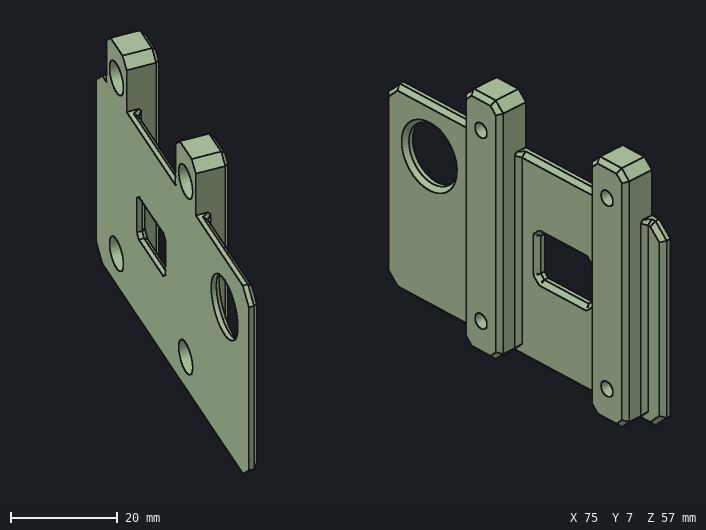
import cadquery as cq

plate_width = 75.0
plate_height = 45.0
plate_thickness = 2.0
plate_corner = 3.0
edge_chamfer = 1.0

rib_width = 10.0
rib_height = 57.0
rib_depth = 7.0
rib_corner = 2.0
first_rib_x = 10.0
rib_pitch = 34.0
rib_centers = [first_rib_x, first_rib_x + rib_pitch]

screw_diameter = 3.2
head_diameter = 6.8
head_depth = 3.2
lower_screw_z = 7.5
screw_pitch_z = 42.0

flare_angle = 45
bore_diameter = 13.0
bore_x = 63.0
bore_z = 33.3
window_width = 13.95
window_height = 10.2
window_corner = 1.0
window_x = first_rib_x + rib_pitch / 2
window_z = 24.0


def cornered_block(width, depth, height, corner):
    """Block centred in X, rising from Z = 0 and Y = 0, with bevelled outline corners."""
    block = cq.Workplane("XY").box(width, depth, height, centered=(True, False, False))
    return block.edges("|Y").chamfer(corner)


def make_plate():
    plate = cornered_block(plate_width, plate_thickness, plate_height, plate_corner)
    return plate.faces(">Y").chamfer(edge_chamfer).translate((plate_width / 2, 0, 0))


def make_rib(center_x):
    rib = cornered_block(rib_width, rib_depth, rib_height, rib_corner)
    return rib.faces(">Y").chamfer(edge_chamfer).translate((center_x, 0, 0))


def front_cylinder(x, z, diameter, depth):
    """Cylinder running back from the front face."""
    return cq.Workplane("XZ", origin=(x, 0, z)).circle(diameter / 2).extrude(-depth)


def back_flare(opening):
    """Cutter widening an opening at 45 degrees up to the back of the plate."""
    outline = opening.faces("<Y").wires().val().translate(cq.Vector(0, plate_thickness - edge_chamfer, 0))
    start = cq.Workplane("XZ", origin=(0, plate_thickness - edge_chamfer, 0)).add(outline).toPending()
    return start.extrude(-edge_chamfer, taper=-flare_angle)


body = make_plate()
for center_x in rib_centers:
    body = body.union(make_rib(center_x))

for center_x in rib_centers:
    for side in (-1, 1):
        side_x = center_x + side * rib_width / 2
        back_middle = (side_x, plate_thickness, plate_height / 2)
        bevel_middle = (side_x, plate_thickness - edge_chamfer / 2, plate_height - edge_chamfer / 2)
        joint = body.edges(cq.selectors.NearestToPointSelector(back_middle))
        joint = joint.add(body.edges(cq.selectors.NearestToPointSelector(bevel_middle)))
        body = joint.chamfer(edge_chamfer)

for center_x in rib_centers:
    for screw_z in (lower_screw_z, lower_screw_z + screw_pitch_z):
        body = body.cut(front_cylinder(center_x, screw_z, screw_diameter, rib_depth))
        body = body.cut(front_cylinder(center_x, screw_z, head_diameter, head_depth))

bore = front_cylinder(bore_x, bore_z, bore_diameter, plate_thickness)
window = cornered_block(window_width, plate_thickness, window_height, window_corner)
window = window.translate((window_x, 0, window_z - window_height / 2))
for opening in (bore, window):
    body = body.cut(opening).cut(back_flare(opening))

result = body